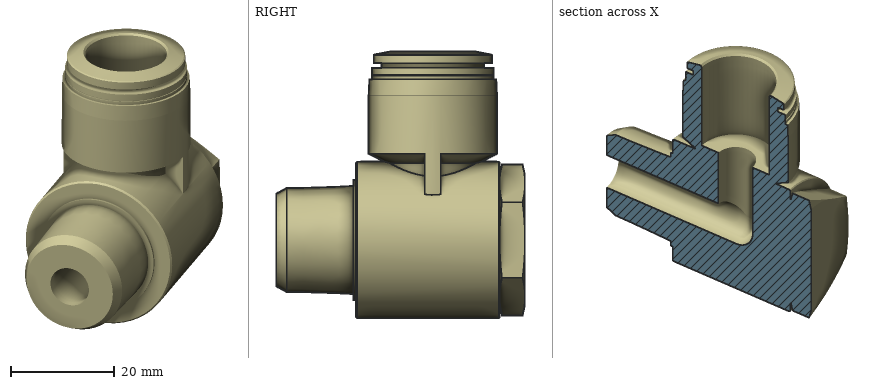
import cadquery as cq
import math


barrel_diameter = 30.5
barrel_back = 12.95
barrel_front = -14.95
barrel_back_chamfer = 0.2
barrel_front_chamfer = 0.3
washer_diameter = 23.35
washer_thickness = 0.45

stud_end = -30.45
stud_root_diameter = 21.05
stud_tip_diameter = 20.2
stud_end_diameter = 17.95
stud_chamfer_length = 2.05

head_across_flats = 25.4
head_back = 17.9
head_chamfer_length = 0.45

socket_top = 51.85 - barrel_diameter / 2
socket_diameter = 25.0
socket_bottom = 16.75
socket_taper_start = 28.05
socket_shoulder = 31.15
socket_shoulder_diameter = 24.7
stem_diameter = 17.85
stem_top = 14.95

ring_diameter = 23.7
ring_top = 33.4
groove_diameter = 23.35
groove_bottom = 31.85
groove_top = 32.05
collar_neck_diameter = 20.0
flange_diameter = 23.0
flange_bottom = 34.3
flange_edge_top = 35.85
rim_diameter = 22.5
rim_height = 36.05

mouth_diameter = 16.6
bore_diameter = 15.85
bore_floor = 16.75
mouth_chamfer = (mouth_diameter - bore_diameter) / 2
passage_diameter = 8.0
rib_width = 3.05


def revolved_z(profile):
    """Revolve (diameter, z) corners about the Z axis."""
    points = [(diameter / 2, z) for diameter, z in profile]
    outline = [(0, points[0][1])] + points + [(0, points[-1][1])]
    return cq.Workplane("XZ").polyline(outline).close().revolve(360, (0, 0), (0, 1))


def revolved_y(profile):
    """Revolve (diameter, y) corners about the Y axis."""
    points = [(diameter / 2, y) for diameter, y in profile]
    outline = [(0, points[0][1])] + points + [(0, points[-1][1])]
    return cq.Workplane("XY").polyline(outline).close().revolve(360, (0, 0), (0, 1))


def make_barrel_and_stud():
    washer_front = barrel_front - washer_thickness
    return revolved_y([
        (stud_end_diameter, stud_end),
        (stud_tip_diameter, stud_end + stud_chamfer_length),
        (stud_root_diameter, washer_front),
        (washer_diameter, washer_front),
        (washer_diameter, barrel_front),
        (barrel_diameter - 2 * barrel_front_chamfer, barrel_front),
        (barrel_diameter, barrel_front + barrel_front_chamfer),
        (barrel_diameter, barrel_back - barrel_back_chamfer),
        (barrel_diameter - 2 * barrel_back_chamfer, barrel_back),
    ])


def make_head():
    """Hexagon with corners up and down, its corners chamfered at both ends."""
    across_corners = head_across_flats / math.cos(math.pi / 6)
    hexagon = (
        cq.Workplane("XZ", origin=(0, head_back, 0))
        .transformed(rotate=(0, 0, 90))
        .polygon(6, across_corners)
        .extrude(head_back - barrel_back)
    )
    corner_cones = revolved_y([
        (head_across_flats, barrel_back),
        (across_corners, barrel_back + head_chamfer_length),
        (across_corners, head_back - head_chamfer_length),
        (head_across_flats, head_back),
    ])
    return hexagon.intersect(corner_cones)


def make_socket():
    return revolved_z([
        (stem_diameter, 0),
        (stem_diameter, stem_top),
        (socket_diameter, socket_bottom),
        (socket_diameter, socket_taper_start),
        (socket_shoulder_diameter, socket_shoulder),
        (ring_diameter, socket_shoulder),
        (ring_diameter, groove_bottom),
        (groove_diameter, groove_bottom),
        (groove_diameter, groove_top),
        (ring_diameter, groove_top),
        (ring_diameter, ring_top),
        (collar_neck_diameter, ring_top),
        (collar_neck_diameter, flange_bottom),
        (flange_diameter, flange_bottom),
        (flange_diameter, flange_edge_top),
        (rim_diameter, rim_height),
        (mouth_diameter, socket_top),
    ])


def make_ribs():
    """Web joining the barrel to both sides of the socket, its outer faces flush with the socket."""
    web = cq.Workplane("XY").box(
        socket_diameter, rib_width, socket_bottom, centered=(True, True, False)
    )
    socket_cylinder = cq.Workplane("XY").circle(socket_diameter / 2).extrude(socket_bottom)
    return web.intersect(socket_cylinder)


def make_passages():
    """Tube bore and an elbow passage with a spherical corner."""
    bore = revolved_z([
        (bore_diameter, bore_floor),
        (bore_diameter, socket_top - mouth_chamfer),
        (mouth_diameter, socket_top),
    ])
    upright = cq.Workplane("XY").circle(passage_diameter / 2).extrude(bore_floor)
    along_stud = cq.Workplane("XZ").circle(passage_diameter / 2).extrude(-stud_end)
    corner = cq.Workplane("XY").sphere(passage_diameter / 2)
    return bore.union(upright).union(along_stud).union(corner)


body = make_barrel_and_stud().union(make_head()).union(make_socket()).union(make_ribs())
result = body.cut(make_passages())